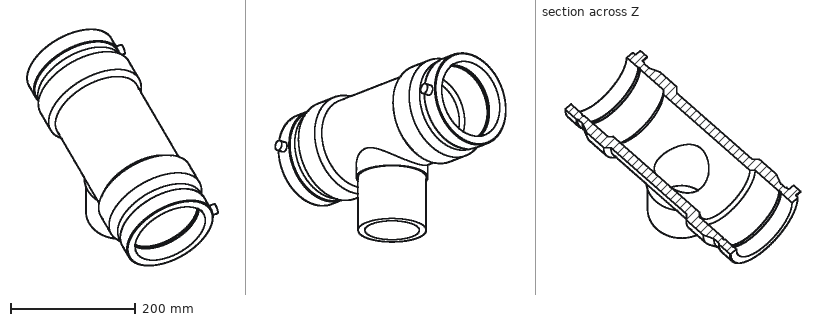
import cadquery as cq

length = 382.0
half_length = length / 2
tube_d = 148.5
ring_d = 153.5
neck_d = 150.5
bulge_d = 165.0

ring_end = 28.0
ring_bevel = 1.0
neck_end = 39.5
bulge_start = 56.5
bulge_end = 96.0
tube_start = 104.0

bore_d = 112.5
socket_d = 125.0
socket_depth = 85.0
cone_end = socket_depth + (socket_d - bore_d) / 2

groove_d = 127.2
groove_start = 26.5
groove_width = 4.2
groove_end = groove_start + groove_width

branch_d = 110.0
branch_bore_d = 88.0
branch_reach = 173.0
collar_d = 115.5
collar_reach = bulge_d / 2

pin_d = 16.5
pin_tip = 88.0
pin_inset = 14.0
pin_root = (socket_d + ring_d) / 4


def revolved_about_x(half_profile):
    """Solid of revolution from (distance from end, diameter) steps, mirrored about the middle."""
    left = [(depth - half_length, diameter / 2) for depth, diameter in half_profile]
    right = [(-x, radius) for x, radius in reversed(left)]
    outline = [(-half_length, 0)] + left + right + [(half_length, 0)]
    return cq.Workplane("XY").polyline(outline).close().revolve(360, (0, 0, 0), (1, 0, 0))


def branch_cylinder(diameter, reach):
    """Cylinder from the run axis downwards."""
    return cq.Workplane("XY").circle(diameter / 2).extrude(-reach)


def terminal_pin(x):
    """Pin that starts inside the ring wall and points to +Y."""
    return cq.Workplane("XZ", origin=(x, pin_root, 0)).circle(pin_d / 2).extrude(pin_root - pin_tip)


run = revolved_about_x([
    (0, neck_d),
    (ring_bevel, ring_d),
    (ring_end - ring_bevel, ring_d),
    (ring_end, neck_d),
    (neck_end, neck_d),
    (bulge_start, bulge_d),
    (bulge_end, bulge_d),
    (tube_start, tube_d),
])
run_bore = revolved_about_x([
    (0, socket_d),
    (groove_start, socket_d),
    (groove_start, groove_d),
    (groove_end, groove_d),
    (groove_end, socket_d),
    (socket_depth, socket_d),
    (cone_end, bore_d),
])

body = run.union(branch_cylinder(collar_d, collar_reach)).union(branch_cylinder(branch_d, branch_reach))
body = body.cut(run_bore).cut(branch_cylinder(branch_bore_d, branch_reach))

for side in (-1, 1):
    body = body.union(terminal_pin(side * (half_length - pin_inset)))

result = body